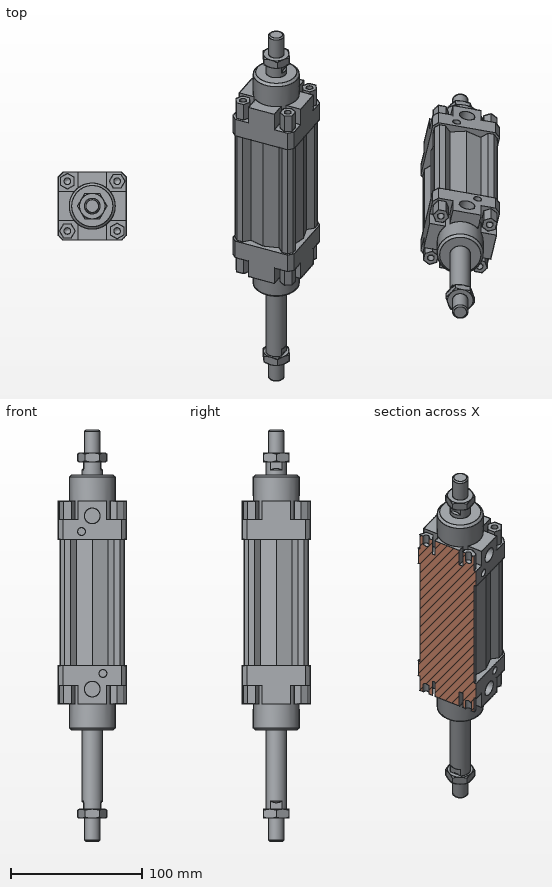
import cadquery as cq
import math


total_length = 313.0
lower_rod_length = 84.5
boss_length = 20.0
cap_height = 29.0
barrel_length = 96.0

lower_boss_z = lower_rod_length
lower_cap_z = lower_boss_z + boss_length
barrel_z = lower_cap_z + cap_height
upper_cap_z = barrel_z + barrel_length
upper_boss_end_z = upper_cap_z + cap_height + boss_length

cap_width = 52.0
cap_chamfer = 3.8
boss_diameter = 35.0
boss_chamfer = 2.0
arm_width = 22.0
pocket_depth = 14.0

screw_pitch = 38.0
screw_across_flats = 10.3
screw_hole_diameter = 5.0
screw_hole_depth = 7.8
drill_point_angle = 118.0

port_diameter = 12.0
port_depth = 11.0
port_drop = 11.3
cushion_diameter = 6.0
cushion_depth = 6.3
cushion_drop = 23.2
cushion_offset = 8.0

barrel_half = 24.5
barrel_chamfer = 3.0
groove_outer = 16.5
groove_inner = 12.0
ridge_angle = 15.0

rod_diameter = 16.0
shoulder_chamfer = 1.5
shoulder_distance = 29.0
wrench_flats = 13.0
thread_diameter = 12.0
thread_length = 24.5
thread_chamfer = 1.1

nut_across_flats = 19.5
nut_height = 7.0
nut_chamfer_angle = 30.0


def across_corners(across_flats):
    """Diameter across the corners of a hexagon."""
    return across_flats / math.cos(math.radians(30))


def screw_head():
    """Hexagonal head at the origin, rising from the pocket floor, with a drilled hole."""
    head = cq.Workplane("XY").polygon(6, across_corners(screw_across_flats)).extrude(pocket_depth)
    radius = screw_hole_diameter / 2
    point_length = radius / math.tan(math.radians(drill_point_angle / 2))
    wall_end = pocket_depth - screw_hole_depth
    hole = (
        cq.Workplane("XZ")
        .moveTo(0, pocket_depth)
        .lineTo(radius, pocket_depth)
        .lineTo(radius, wall_end)
        .lineTo(0, wall_end - point_length)
        .close()
        .revolve(360, (0, 0, 0), (0, 1, 0))
    )
    return head.cut(hole)


def side_hole(diameter, depth, x, z):
    """Cylinder that drills into the -Y face of a cap."""
    return (
        cq.Workplane("XZ", origin=(x, -cap_width / 2, z))
        .circle(diameter / 2)
        .extrude(-depth)
    )


def make_cap(cushion_x):
    """End cap with boss, corner pockets and screw heads, rising from its inner face at Z = 0."""
    floor_z = cap_height - pocket_depth
    block = (
        cq.Workplane("XY")
        .rect(cap_width, cap_width)
        .extrude(cap_height)
        .edges("|Z")
        .chamfer(cap_chamfer)
    )
    pocket_size = (cap_width - arm_width) / 2
    pocket_pitch = (cap_width + arm_width) / 2
    pockets = (
        cq.Workplane("XY", origin=(0, 0, floor_z))
        .rect(pocket_pitch, pocket_pitch, forConstruction=True)
        .vertices()
        .rect(pocket_size, pocket_size)
        .extrude(pocket_depth)
    )
    boss = (
        cq.Workplane("XY", origin=(0, 0, floor_z))
        .circle(boss_diameter / 2)
        .extrude(pocket_depth + boss_length)
        .faces(">Z")
        .chamfer(boss_chamfer)
    )
    cap = block.cut(pockets).union(boss)
    corner_head = screw_head().translate((-screw_pitch / 2, -screw_pitch / 2, floor_z))
    for turn in range(4):
        cap = cap.union(corner_head.rotate((0, 0, 0), (0, 0, 1), 90 * turn))
    port = side_hole(port_diameter, port_depth, 0, cap_height - port_drop)
    cushion_hole = side_hole(cushion_diameter, cushion_depth, cushion_x, cap_height - cushion_drop)
    return cap.cut(port).cut(cushion_hole)


def make_barrel():
    """Extruded barrel with a ridged groove along each side."""
    groove_floor = barrel_half - (groove_outer - groove_inner)
    ridge_top = groove_floor + groove_inner * math.tan(math.radians(ridge_angle))
    land_end = barrel_half - barrel_chamfer
    side = [
        (-land_end, -barrel_half),
        (-groove_outer, -barrel_half),
        (-groove_inner, -groove_floor),
        (0, -ridge_top),
        (groove_inner, -groove_floor),
        (groove_outer, -barrel_half),
        (land_end, -barrel_half),
    ]
    outline = []
    for turn in range(4):
        outline += side
        side = [(-y, x) for x, y in side]
    return cq.Workplane("XY", origin=(0, 0, barrel_z)).polyline(outline).close().extrude(barrel_length)


def make_housing():
    """Barrel, both end caps and their screws, bored through for the rod."""
    upper_cap = make_cap(-cushion_offset).translate((0, 0, upper_cap_z))
    lower_cap = make_cap(cushion_offset).mirror("XY").translate((0, 0, barrel_z))
    bore = (
        cq.Workplane("XY", origin=(0, 0, lower_boss_z))
        .circle(rod_diameter / 2)
        .extrude(upper_boss_end_z - lower_boss_z)
    )
    return make_barrel().union(upper_cap).union(lower_cap).cut(bore)


def rod_end():
    """Threaded end at Z = 0 and the wrench flats that join it to the rod shoulder."""
    thread = (
        cq.Workplane("XY")
        .circle(thread_diameter / 2)
        .extrude(thread_length)
        .faces("<Z")
        .chamfer(thread_chamfer)
    )
    flats_length = shoulder_distance + shoulder_chamfer - thread_length
    flats = (
        cq.Workplane("XY", origin=(0, 0, thread_length))
        .circle(rod_diameter / 2)
        .extrude(flats_length)
        .intersect(
            cq.Workplane("XY", origin=(0, 0, thread_length))
            .rect(wrench_flats, rod_diameter)
            .extrude(flats_length)
        )
    )
    return thread.union(flats)


def opposite_end(body):
    """Turn a body at the lower rod end over to the upper rod end."""
    return body.rotate((0, 0, total_length / 2), (1, 0, total_length / 2), 180)


def make_rod():
    """Through rod with chamfered shoulders and a threaded end on each side."""
    shaft = (
        cq.Workplane("XY", origin=(0, 0, shoulder_distance))
        .circle(rod_diameter / 2)
        .extrude(total_length - 2 * shoulder_distance)
        .faces("<Z or >Z")
        .chamfer(shoulder_chamfer)
    )
    return shaft.union(rod_end(), clean=False).union(opposite_end(rod_end()), clean=False)


def make_nut():
    """Hexagonal lock nut on the lower thread, seated against the wrench flats."""
    start_z = thread_length - nut_height
    corner_radius = across_corners(nut_across_flats) / 2
    blank = cq.Workplane("XY", origin=(0, 0, start_z)).polygon(6, 2 * corner_radius).extrude(nut_height)
    face_radius = nut_across_flats / 2
    drop = (corner_radius - face_radius) * math.tan(math.radians(nut_chamfer_angle))
    envelope = (
        cq.Workplane("XY", origin=(0, 0, start_z))
        .circle(corner_radius)
        .extrude(nut_height)
        .faces("<Z or >Z")
        .chamfer(drop, corner_radius - face_radius)
    )
    hole = cq.Workplane("XY", origin=(0, 0, start_z)).circle(thread_diameter / 2).extrude(nut_height)
    return blank.intersect(envelope).cut(hole)


housing = make_housing()
rod = make_rod()
lower_nut = make_nut()
nuts = [lower_nut, opposite_end(lower_nut)]

result = cq.Compound.makeCompound([housing.val(), rod.val()] + [nut.val() for nut in nuts])